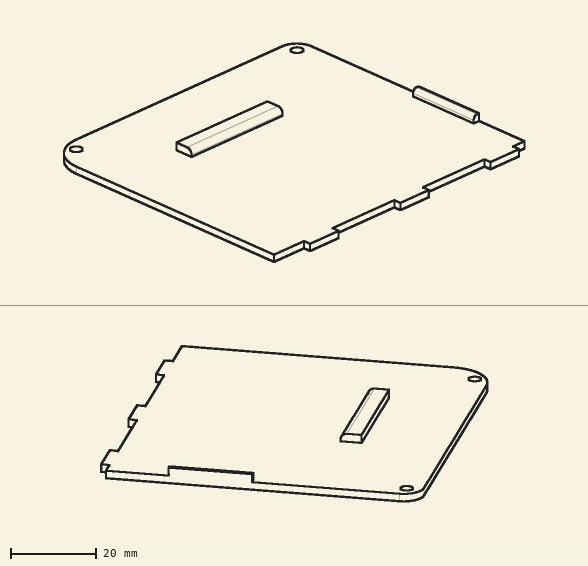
import cadquery as cq

plate_width = 75.3
plate_length = 83.45
plate_thickness = 1.9
back_corner_radius = 4.8
front_corner_radius = 10.0

tab_depth = 2.0
tab_length = 9.5
tab_pitch = 30.05
first_tab_center_y = 14.8
tab_count = 3

hole_diameter = 3.0
hole_centers = [(3.9, 79.6), (3.6, 6.4)]

rib_height = 2.0
long_rib_width = 5.0
long_rib_length = 30.3
long_rib_x = 20.6
long_rib_y = 22.6
short_rib_width = 1.8
short_rib_length = 20.0
short_rib_x = 40.2
long_rib_edge_radius = 1.5
short_rib_edge_radius = 1.2


def box_at(x, y, z, size_x, size_y, size_z):
    """Box whose minimum corner is at (x, y, z)."""
    return cq.Workplane("XY").box(size_x, size_y, size_z, centered=False).translate((x, y, z))


plate = box_at(0, 0, 0, plate_width, plate_length, plate_thickness)
plate = plate.edges("|Z and <X and <Y").fillet(front_corner_radius)
plate = plate.edges("|Z and <X and >Y").fillet(back_corner_radius)

for index in range(tab_count):
    tab_y = first_tab_center_y + index * tab_pitch - tab_length / 2
    tab = box_at(plate_width - tab_depth, tab_y, 0, 2 * tab_depth, tab_length, plate_thickness)
    plate = plate.union(tab)

holes = (
    cq.Workplane("XY")
    .pushPoints(hole_centers)
    .circle(hole_diameter / 2)
    .extrude(plate_thickness)
)
plate = plate.cut(holes)

long_rib = box_at(long_rib_x, long_rib_y, plate_thickness, long_rib_width, long_rib_length, rib_height)
long_rib = long_rib.edges(">X and >Z").fillet(long_rib_edge_radius)

short_rib = box_at(
    short_rib_x, plate_length - short_rib_width, plate_thickness,
    short_rib_length, short_rib_width, rib_height,
)
short_rib = short_rib.edges("<Y and >Z").fillet(short_rib_edge_radius)

result = plate.union(long_rib).union(short_rib)